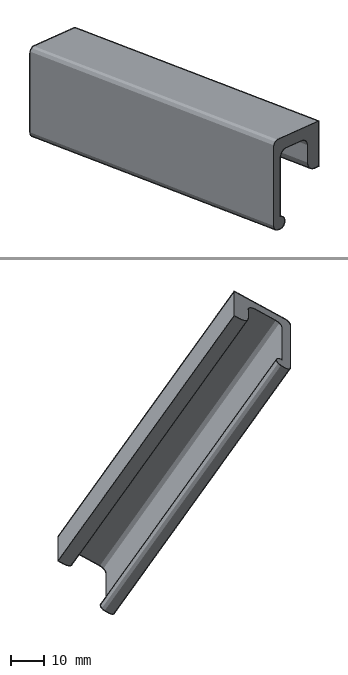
import cadquery as cq

length = 100.0
depth = 20.0
height = 30.0

front_wall = 3.0
top_wall = 4.0
back_wall = 5.0
back_height = 15.0

lip_depth = 5.0
lip_radius = 2.0

outer_radius = 2.0
inner_radius = 2.5
back_tip_radius = 3.0


def box(y_start, y_end, z_start, z_end):
    """Full-length bar with the given extent in Y and Z."""
    return cq.Workplane("XY").box(
        length, y_end - y_start, z_end - z_start, centered=False
    ).translate((0, y_start, z_start))


def make_channel():
    """Hooked channel with a tall front wall and a short, thick back wall."""
    block = box(0, depth, 0, height)
    cavity = box(front_wall, depth - back_wall, 0, height - top_wall)
    cavity = cavity.edges("|X and >Z").fillet(inner_radius)
    below_back_wall = box(depth - back_wall, depth, 0, height - back_height)
    channel = block.cut(cavity).cut(below_back_wall)

    front_edges = channel.edges("|X and <Y")
    channel = front_edges.fillet(outer_radius)
    back_tip = cq.selectors.NearestToPointSelector(
        (length / 2, depth - back_wall, height - back_height)
    )
    return channel.edges(back_tip).fillet(back_tip_radius)


def make_lip():
    """Bead with a round nose, extending inward from the front wall."""
    return (
        cq.Workplane("YZ")
        .center(lip_depth / 2, lip_radius)
        .slot2D(lip_depth, 2 * lip_radius)
        .extrude(length)
    )


result = make_channel().union(make_lip())